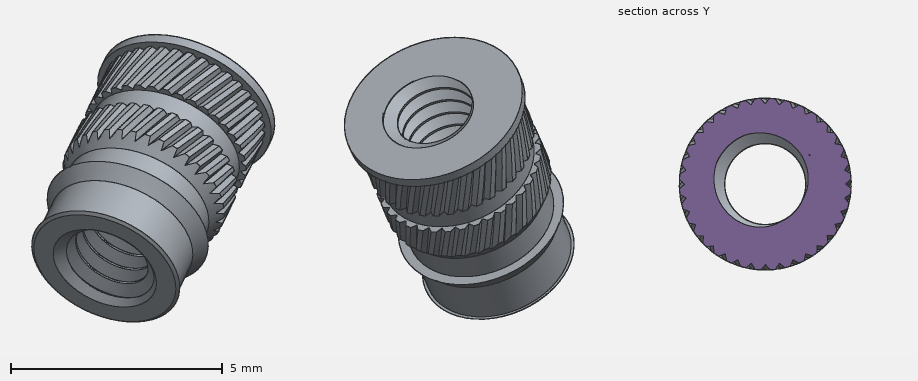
import cadquery as cq
import math


LENGTH = 5.6
FLANGE_THICKNESS = 0.25
LIP_END = 0.06
BARB_START = 1.14
BARB_END = 1.54
CONE_START = 2.22
CONE_END = 2.60
GROOVE_START = 3.48
GROOVE_END = 4.07
FLANGE_START = LENGTH - FLANGE_THICKNESS

BODY_RADIUS = 1.79
LIP_RADIUS = 1.865
GROOVE_RADIUS = LIP_RADIUS
KNURL_RADIUS = 2.03
FLANGE_RADIUS = 2.185

TOOTH_COUNT = 36
KNURL_GROOVE_WIDTH = 0.213
KNURL_ROOT_RADIUS = 1.91
KNURL_TWIST = 11.45
KNURL_PHASE = -2.1

BORE_RADIUS = 0.953
CHAMFER_RADIUS = 1.3
THREAD_PITCH = 0.45
THREAD_ROOT_RADIUS = 1.25
CREST_FLAT = THREAD_PITCH / 8
THREAD_PHASE = -125
THREAD_HALF_ANGLE = math.radians(30)
EXTRA_TURNS = 1


def revolve_about_axis(points):
    """Turn a closed (axial position, radius) outline into a solid around Y."""
    profile = cq.Workplane("YZ").polyline(points).close()
    return profile.revolve(360, (0, 0, 0), (1, 0, 0))


def turned_body():
    """Solid outer shape with the lip, barb, lead-in cone, groove and flange, before knurling."""
    return revolve_about_axis([
        (0, 0),
        (0, BODY_RADIUS),
        (LIP_END, LIP_RADIUS),
        (LIP_END, BODY_RADIUS),
        (BARB_START, BODY_RADIUS),
        (BARB_END, KNURL_RADIUS),
        (BARB_END, BODY_RADIUS),
        (CONE_START, BODY_RADIUS),
        (CONE_END, KNURL_RADIUS),
        (GROOVE_START, KNURL_RADIUS),
        (GROOVE_START, GROOVE_RADIUS),
        (GROOVE_END, GROOVE_RADIUS),
        (GROOVE_END, KNURL_RADIUS),
        (FLANGE_START, KNURL_RADIUS),
        (FLANGE_START, FLANGE_RADIUS),
        (LENGTH, FLANGE_RADIUS),
        (LENGTH, 0),
    ])


def knurl_star(start, end):
    """Twisted star between two stations; its flanks are the sides of the knurl grooves."""
    tooth_angle = 2 * math.pi / TOOTH_COUNT
    crest_angle = KNURL_GROOVE_WIDTH / (2 * KNURL_RADIUS)
    crest_x = KNURL_RADIUS * math.sin(crest_angle)
    crest_rise = KNURL_RADIUS * math.cos(crest_angle) - KNURL_ROOT_RADIUS
    slope = crest_rise / crest_x
    tan_half = math.tan(tooth_angle / 2)
    tip_x = KNURL_ROOT_RADIUS * tan_half / (1 - slope * tan_half)
    tip_radius = tip_x / math.sin(tooth_angle / 2)

    phase = math.radians(KNURL_PHASE + KNURL_TWIST * (start - CONE_END))
    points = []
    for tooth in range(TOOTH_COUNT):
        root_angle = phase + tooth * tooth_angle
        tip_angle = root_angle + tooth_angle / 2
        for radius, angle in ((KNURL_ROOT_RADIUS, root_angle), (tip_radius, tip_angle)):
            points.append((-radius * math.sin(angle), radius * math.cos(angle)))

    section_plane = cq.Plane(origin=(0, start, 0), xDir=(-1, 0, 0), normal=(0, 1, 0))
    section = cq.Workplane(section_plane).polyline(points).close()
    return section.twistExtrude(end - start, KNURL_TWIST * (end - start))


def knurl_band(body, start, end):
    """Cut the knurl grooves into the body between two stations."""
    plane = cq.Plane(origin=(0, start, 0), xDir=(1, 0, 0), normal=(0, 1, 0))
    blank = cq.Workplane(plane).circle(FLANGE_RADIUS).extrude(end - start)
    return body.cut(blank.cut(knurl_star(start, end)))


def chamfer_cone():
    """Pointed cone that opens the front mouth; its tip lies inside the thread."""
    tip_depth = CHAMFER_RADIUS
    return revolve_about_axis([(0, 0), (0, CHAMFER_RADIUS), (tip_depth, 0)])


def thread_surface():
    """Open helical sheet of the thread, ruled between helices through the corners of its profile."""
    depth = THREAD_ROOT_RADIUS - BORE_RADIUS
    half_mouth = (THREAD_PITCH - CREST_FLAT) / 2
    half_root = half_mouth - depth * math.tan(THREAD_HALF_ANGLE)
    corners = [
        (BORE_RADIUS, -half_mouth),
        (THREAD_ROOT_RADIUS, -half_root),
        (THREAD_ROOT_RADIUS, half_root),
        (BORE_RADIUS, half_mouth),
        (BORE_RADIUS, THREAD_PITCH - half_mouth),
    ]
    turns = math.ceil(LENGTH / THREAD_PITCH) + 2 * EXTRA_TURNS
    helices = [
        cq.Wire.makeHelix(THREAD_PITCH, turns * THREAD_PITCH, radius).translate(cq.Vector(0, 0, rise))
        for radius, rise in corners
    ]
    strips = []
    for lower, upper in zip(helices, helices[1:]):
        strips.extend(cq.Face.makeRuledSurface(lower, upper).Faces())
    origin = cq.Vector(0, 0, 0)
    sheet = cq.Shell.makeShell(strips)
    sheet = sheet.rotate(origin, cq.Vector(0, 0, 1), THREAD_PHASE)
    sheet = sheet.rotate(origin, cq.Vector(1, 0, 0), -90)
    return sheet.translate(cq.Vector(0, -EXTRA_TURNS * THREAD_PITCH, 0))


def threaded(body):
    """Split the solid body along the thread sheet and drop the plug inside it."""
    pieces = body.val().split(thread_surface()).Solids()
    return cq.Workplane(max(pieces, key=lambda piece: piece.BoundingBox().xlen))


insert = turned_body().cut(chamfer_cone())
insert = threaded(insert)
insert = knurl_band(insert, CONE_START, GROOVE_START)
result = knurl_band(insert, GROOVE_END, FLANGE_START)